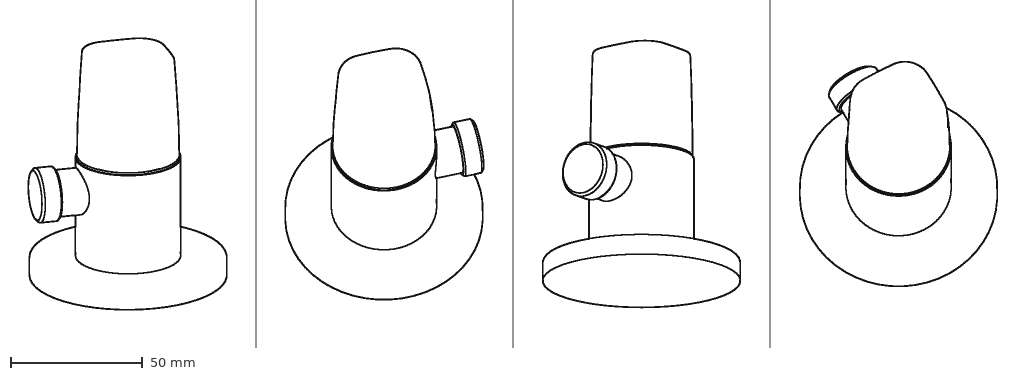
import cadquery as cq
import math

flange_radius = 37.5
flange_height = 8.0
flange_edge_radius = 1.0

housing_radius = 20.0
housing_height = 40.0
housing_edge_chamfer = 0.2
housing_top = flange_height + housing_height

outlet_axis_height = 36.0
outlet_end = 36.7
outlet_head_radius = 10.5
outlet_head_length = 8.0
outlet_back_chamfer = 0.7
outlet_front_chamfer = 1.0
outlet_neck_radius = 9.0
outlet_seat = 15.0

overall_height = 89.7
collar_radius = 17.6
collar_height = 0.7
handle_bottom = housing_top + collar_height
handle_height = overall_height - handle_bottom
handle_base_radius = 19.45
handle_top_half_width = 16.1
handle_corner_radius = 10.0
handle_side_crown = 0.1
handle_top_fillet = 1.0
handle_section_count = 5


def make_flange():
    flange = cq.Workplane("XY").circle(flange_radius).extrude(flange_height)
    return flange.faces(">Z").edges().fillet(flange_edge_radius)


def outlet_cylinder(radius, start, end):
    """Cylinder on the outlet axis between two distances from the housing axis."""
    plane = cq.Workplane("XZ", origin=(0, -start, outlet_axis_height))
    return plane.circle(radius).extrude(end - start)


def make_outlet():
    head_start = outlet_end - outlet_head_length
    head = outlet_cylinder(outlet_head_radius, head_start, outlet_end)
    head = head.faces("<Y").edges().chamfer(outlet_front_chamfer)
    head = head.faces(">Y").edges().chamfer(outlet_back_chamfer)
    neck = outlet_cylinder(outlet_neck_radius, outlet_seat, head_start)
    return neck.union(head)


def make_housing():
    housing = cq.Workplane("XY", origin=(0, 0, flange_height))
    housing = housing.circle(housing_radius).extrude(housing_height)
    housing = housing.faces(">Z").edges().chamfer(housing_edge_chamfer)
    socket = outlet_cylinder(outlet_neck_radius, outlet_seat, housing_radius)
    return housing.cut(socket)


def turned(point, angle):
    """Point turned about the origin by an angle in radians."""
    x, y = point
    return (
        x * math.cos(angle) - y * math.sin(angle),
        x * math.sin(angle) + y * math.cos(angle),
    )


def blended(first, second, share):
    """Point lying a share of the way from the first point to the second."""
    return tuple(a + (b - a) * share for a, b in zip(first, second))


def handle_section(level):
    """Outline at a level from 0 (circle) to 1 (rounded square): four side and four corner arcs."""
    share = level ** 2
    half_side = handle_top_half_width - handle_corner_radius
    base_side_end = math.sqrt(handle_base_radius ** 2 - half_side ** 2)
    base_diagonal = handle_base_radius * math.sqrt(0.5)
    top_diagonal = half_side + handle_corner_radius * math.sqrt(0.5)
    top_side_end = handle_top_half_width - handle_side_crown

    start = blended((base_side_end, -half_side), (top_side_end, -half_side), share)
    middle = blended((handle_base_radius, 0), (handle_top_half_width, 0), share)
    end = (start[0], half_side)
    corner = blended((base_diagonal, base_diagonal), (top_diagonal, top_diagonal), share)

    plane = cq.Workplane("XY", origin=(0, 0, handle_bottom + level * handle_height))
    outline = plane.moveTo(*start)
    for quarter in range(4):
        angle = quarter * math.pi / 2
        next_start = turned(start, angle + math.pi / 2)
        outline = outline.threePointArc(turned(middle, angle), turned(end, angle))
        outline = outline.threePointArc(turned(corner, angle), next_start)
    return outline.close().val()


def make_handle():
    levels = [i / (handle_section_count - 1) for i in range(handle_section_count)]
    grip = cq.Workplane(cq.Solid.makeLoft([handle_section(level) for level in levels]))
    grip = grip.faces(">Z").edges().fillet(handle_top_fillet)
    collar = cq.Workplane("XY", origin=(0, 0, housing_top))
    collar = collar.circle(collar_radius).extrude(collar_height)
    return grip.union(collar)


flange = make_flange()
housing = make_housing()
outlet = make_outlet()
handle = make_handle()

result = cq.Compound.makeCompound([flange.val(), housing.val(), outlet.val(), handle.val()])